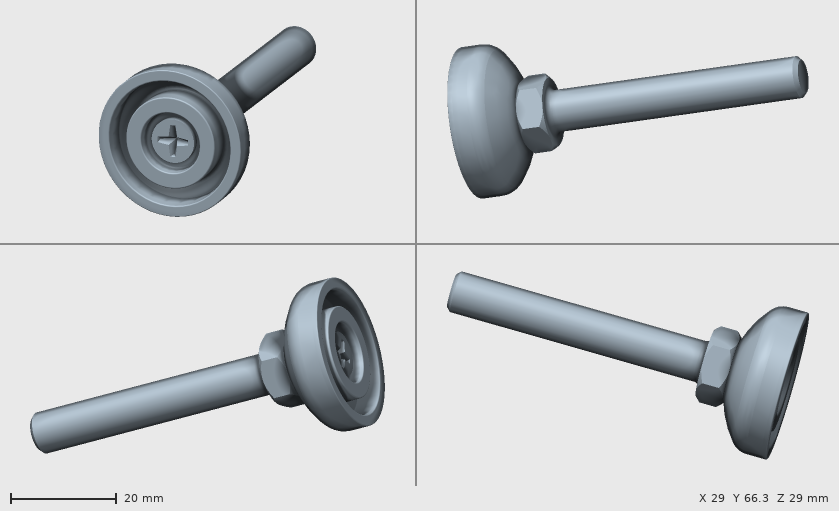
import cadquery as cq
import math


TOTAL_LENGTH = 66.3
FOOT_DIAMETER = 29.0
FOOT_RADIUS = FOOT_DIAMETER / 2

CAP_BOTTOM = 1.0
CAP_WALL = 1.0
SHOULDER_HEIGHT = 4.0
SHOULDER_RADIUS = 4.0
DOME_RADIUS = 20.0

ROD_DIAMETER = 8.0
ROD_RADIUS = ROD_DIAMETER / 2
ROD_CHAMFER = 0.8
HEX_BOTTOM = 11.0
HEX_HEIGHT = 5.3
HEX_ACROSS_FLATS = 13.0
HEX_TURN = 15.0
HEX_FACE_RADIUS = 6.5
HEX_CHAMFER_ANGLE = 45.0
ROD_FILLET = 1.0
STUD_END_RADIUS = 4.3
STUD_END_HEIGHT = 1.7

CROSS_REACH = 3.1
CROSS_TIP_HALF_WIDTH = 0.5
CROSS_ROOT_HALF_WIDTH = 1.0
CROSS_DEPTH = 2.3
CROSS_TIP_DEPTH = 0.8
CROSS_TIP_SLOPE = 0.4
CROSS_WINGS = 4

BASE_EDGE_FILLET = 0.2
GROOVE_OUTER_RADIUS = 12.3
GROOVE_WALL_DRAFT = 4.0
GROOVE_OUTER_HEIGHT = 4.4
GROOVE_CEILING_ANGLE = 32.0
GROOVE_MOUTH_FILLET = 0.25
GROOVE_OUTER_FILLET = 0.25
GROOVE_INNER_FILLET = 0.5
BOSS_RADIUS = 9.0
BOSS_BOTTOM = 0.3
BOSS_FILLET = 0.25
SOCKET_RADIUS = 6.0
SOCKET_DRAFT = 4.0
SOCKET_EDGE_HEIGHT = 2.9
SOCKET_FLOOR_ANGLE = 10.0
SOCKET_MOUTH_FILLET = 0.25
SOCKET_FLOOR_FILLET = 0.45

EDGE_TOLERANCE = 0.005
FULL_TURN = 360.0

DOME_CENTER = SHOULDER_HEIGHT - math.sqrt(
    (DOME_RADIUS - SHOULDER_RADIUS) ** 2 - (FOOT_RADIUS - SHOULDER_RADIUS) ** 2
)


def slope(angle):
    """Rise per unit run of a surface at the given angle in degrees."""
    return math.tan(math.radians(angle))


def revolved(profile):
    """Turn a closed (radius, height) outline around the Y axis."""
    return profile.close().revolve(FULL_TURN, (0, 0, 0), (0, 1, 0))


def domed_plug(inset, bottom):
    """Solid bounded by the foot's outer surface moved inwards by the inset."""
    radius = FOOT_RADIUS - inset
    fillet = SHOULDER_RADIUS - inset
    dome = DOME_RADIUS - inset
    fillet_center = FOOT_RADIUS - SHOULDER_RADIUS
    lean = math.asin(fillet_center / (DOME_RADIUS - SHOULDER_RADIUS))

    def on_fillet(angle):
        return (
            fillet_center + fillet * math.sin(angle),
            SHOULDER_HEIGHT + fillet * math.cos(angle),
        )

    def on_dome(angle):
        return (dome * math.sin(angle), DOME_CENTER + dome * math.cos(angle))

    return revolved(
        cq.Workplane("XY")
        .moveTo(0, bottom)
        .lineTo(radius, bottom)
        .lineTo(radius, SHOULDER_HEIGHT)
        .threePointArc(on_fillet((lean + math.pi / 2) / 2), on_fillet(lean))
        .threePointArc(on_dome(lean / 2), on_dome(0))
    )


def cylinder(radius, bottom, top):
    """Cylinder on the Y axis between two heights."""
    return cq.Workplane("XZ", origin=(0, bottom, 0)).circle(radius).extrude(bottom - top)


def fillet_circle(body, circle_radius, height, fillet):
    """Round the circular edge with the given radius and height."""

    def matches(edge):
        return (
            abs(edge.radius() - circle_radius) < EDGE_TOLERANCE
            and abs(edge.Center().y - height) < EDGE_TOLERANCE
        )

    return body.edges("%CIRCLE").filter(matches).fillet(fillet)


def make_cap():
    """Domed shell, cut flat under the hexagon and bored for the stud."""
    cap = domed_plug(0, CAP_BOTTOM).cut(domed_plug(CAP_WALL, CAP_BOTTOM))
    above_hex_seat = cylinder(FOOT_RADIUS, HEX_BOTTOM, HEX_BOTTOM + HEX_HEIGHT)
    stud_hole = cylinder(STUD_END_RADIUS, 0, HEX_BOTTOM)
    return cap.cut(above_hex_seat).cut(stud_hole)


def make_groove():
    """Ring-shaped cutter whose ceiling rises as a cone towards the boss."""
    outer_radius = GROOVE_OUTER_RADIUS - GROOVE_OUTER_HEIGHT * slope(GROOVE_WALL_DRAFT)
    inner_height = GROOVE_OUTER_HEIGHT + (outer_radius - BOSS_RADIUS) * slope(GROOVE_CEILING_ANGLE)
    groove = revolved(
        cq.Workplane("XY")
        .moveTo(BOSS_RADIUS, 0)
        .lineTo(GROOVE_OUTER_RADIUS, 0)
        .lineTo(outer_radius, GROOVE_OUTER_HEIGHT)
        .lineTo(BOSS_RADIUS, inner_height)
    )
    groove = fillet_circle(groove, outer_radius, GROOVE_OUTER_HEIGHT, GROOVE_OUTER_FILLET)
    return fillet_circle(groove, BOSS_RADIUS, inner_height, GROOVE_INNER_FILLET)


def make_socket():
    """Drafted recess in the boss whose shallow conical floor rises to the stud."""
    depth = SOCKET_EDGE_HEIGHT - BOSS_BOTTOM
    floor_radius = SOCKET_RADIUS - depth * slope(SOCKET_DRAFT)
    floor_height = SOCKET_EDGE_HEIGHT + (floor_radius - STUD_END_RADIUS) * slope(SOCKET_FLOOR_ANGLE)
    socket = revolved(
        cq.Workplane("XY")
        .moveTo(0, BOSS_BOTTOM)
        .lineTo(SOCKET_RADIUS, BOSS_BOTTOM)
        .lineTo(floor_radius, SOCKET_EDGE_HEIGHT)
        .lineTo(STUD_END_RADIUS, floor_height)
        .lineTo(0, floor_height)
    )
    return fillet_circle(socket, floor_radius, SOCKET_EDGE_HEIGHT, SOCKET_FLOOR_FILLET)


def make_base():
    """Flange below the cap and a plug that fills it, recessed from underneath."""
    flange = cylinder(FOOT_RADIUS, 0, CAP_BOTTOM)
    base = flange.union(domed_plug(CAP_WALL, CAP_BOTTOM))
    base = base.cut(make_groove())
    base = base.cut(cylinder(BOSS_RADIUS, 0, BOSS_BOTTOM))
    base = base.cut(make_socket())
    base = base.cut(cylinder(STUD_END_RADIUS, 0, HEX_BOTTOM))
    base = fillet_circle(base, FOOT_RADIUS, 0, BASE_EDGE_FILLET)
    base = fillet_circle(base, GROOVE_OUTER_RADIUS, 0, GROOVE_MOUTH_FILLET)
    base = fillet_circle(base, BOSS_RADIUS, BOSS_BOTTOM, BOSS_FILLET)
    return fillet_circle(base, SOCKET_RADIUS, BOSS_BOTTOM, SOCKET_MOUTH_FILLET)


def make_hexagon():
    """Hexagon with both faces turned down to a chamfer circle."""
    corner_radius = HEX_ACROSS_FLATS / math.sqrt(3)
    hex_top = HEX_BOTTOM + HEX_HEIGHT
    prism = (
        cq.Workplane("XZ", origin=(0, HEX_BOTTOM, 0))
        .transformed(rotate=(0, 0, HEX_TURN))
        .polygon(6, 2 * corner_radius)
        .extrude(-HEX_HEIGHT)
    )
    chamfer_rise = (corner_radius - HEX_FACE_RADIUS) * slope(HEX_CHAMFER_ANGLE)
    envelope = revolved(
        cq.Workplane("XY")
        .moveTo(0, HEX_BOTTOM)
        .lineTo(HEX_FACE_RADIUS, HEX_BOTTOM)
        .lineTo(corner_radius, HEX_BOTTOM + chamfer_rise)
        .lineTo(corner_radius, hex_top - chamfer_rise)
        .lineTo(HEX_FACE_RADIUS, hex_top)
        .lineTo(0, hex_top)
    )
    return prism.intersect(envelope)


def make_cross_wing():
    """One V-shaped wing of the cross recess, running along +X from the axis."""

    def section(x, x_deep, half_width, depth):
        corners = [
            cq.Vector(x, STUD_END_HEIGHT, -half_width),
            cq.Vector(x, STUD_END_HEIGHT, half_width),
            cq.Vector(x_deep, STUD_END_HEIGHT + depth, 0),
        ]
        return cq.Wire.makePolygon(corners, close=True)

    root = section(0, 0, CROSS_ROOT_HALF_WIDTH, CROSS_DEPTH)
    tip = section(
        CROSS_REACH,
        CROSS_REACH - CROSS_TIP_SLOPE,
        CROSS_TIP_HALF_WIDTH,
        CROSS_TIP_DEPTH,
    )
    return cq.Workplane(cq.Solid.makeLoft([root, tip], True))


def make_stud():
    """Rod and hexagon in one piece with the round end that passes through the foot."""
    hex_top = HEX_BOTTOM + HEX_HEIGHT
    rod = cylinder(ROD_RADIUS, hex_top, TOTAL_LENGTH).faces(">Y").chamfer(ROD_CHAMFER)
    stud = make_hexagon().union(rod)
    stud = fillet_circle(stud, ROD_RADIUS, hex_top, ROD_FILLET)
    stud = stud.union(cylinder(STUD_END_RADIUS, STUD_END_HEIGHT, HEX_BOTTOM))
    wing = make_cross_wing()
    for index in range(CROSS_WINGS):
        turn = index * FULL_TURN / CROSS_WINGS
        stud = stud.cut(wing.rotate((0, 0, 0), (0, 1, 0), turn))
    return stud


cap = make_cap()
base = make_base()
stud = make_stud()

result = cq.Compound.makeCompound([cap.solids().val(), base.solids().val(), stud.solids().val()])